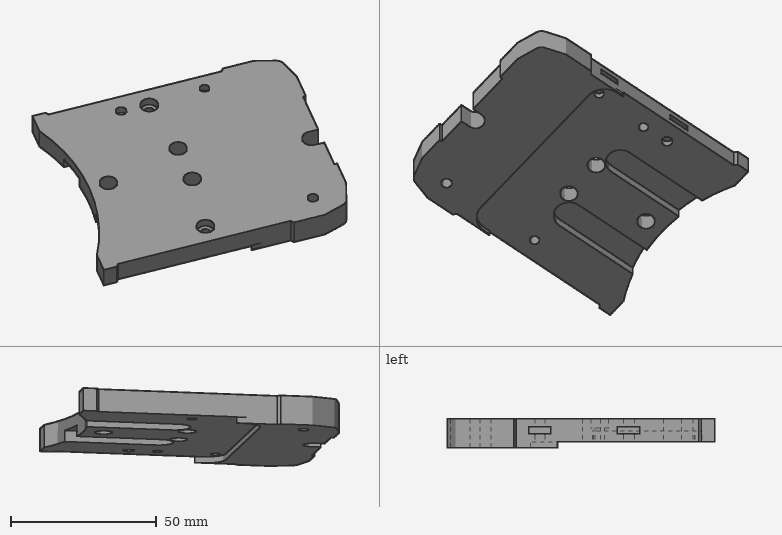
import cadquery as cq

width = 76.2
length = 92
height = 10.0
half_width = width / 2

side_inset = 1.1
ear_step = 0.9
front_ear_end = 4.7
rear_ear_start = 69.1
corner_size = 11.8
corner_inset = 2.85
corner_radius = 3.2
front_arc_half_width = 30.6
front_arc_rise = 7.6
side_x = half_width - side_inset

rear_step_width = 33.3
rear_step_depth = 1.0
rear_slot_width = 6.4
rear_slot_x = 2.8
rear_slot_bottom = 84.2

recess_height = 2.1
pad_tip_y = 54.0
pad_corner_radius = 6.9
pad_front_y = 63.5
pad_lip_thickness = 0.4

channels = [(-13.7, 10.1), (14.5, 10.8)]
channel_top = 6.0
channel_end_center_y = 36.8

large_hole_diameter = 6.1
large_holes = [(-7.5, 42.5), (7.5, 42.5), (0, 14.6)]
screw_hole_diameter = 3.3
counterbore_diameter = 6.2
counterbore_floor = 6.9
screw_holes = [(-30.0, 39.7), (30.0, 39.7)]
rear_right_hole = (29.3, 78.95, 3.7)
left_rear_hole = (-31.3, 60.2, 3.3)
left_front_hole = (-30.5, 29.6, 3.7)

nut_pockets = [(left_rear_hole, 7.45), (left_front_hole, 7.7)]
nut_pocket_bottom = 4.8
nut_pocket_height = 2.5
nut_pocket_reach = 3.7


def box(x_min, x_max, y_min, y_max, z_min, z_max):
    size = (x_max - x_min, y_max - y_min, z_max - z_min)
    return cq.Workplane("XY").box(*size, centered=False).translate((x_min, y_min, z_min))


def cylinder(x, y, diameter, z_min=0, z_max=height):
    return cq.Workplane("XY", origin=(x, y, z_min)).circle(diameter / 2).extrude(z_max - z_min)


def make_plate():
    right_side = [
        (half_width, 0),
        (half_width, front_ear_end),
        (side_x, front_ear_end + ear_step),
        (side_x, rear_ear_start - ear_step),
        (half_width, rear_ear_start),
        (half_width, length - corner_size),
        (half_width - corner_inset, length - corner_inset),
        (half_width - corner_size, length),
    ]
    left_side = [(-x, y) for x, y in reversed(right_side)]
    plate = (
        cq.Workplane("XY")
        .moveTo(-front_arc_half_width, 0)
        .threePointArc((0, front_arc_rise), (front_arc_half_width, 0))
    )
    for x, y in right_side + left_side:
        plate = plate.lineTo(x, y)
    plate = plate.close().extrude(height)
    for side in (-1, 1):
        apex = (side * (half_width - corner_inset), length - corner_inset, height / 2)
        plate = plate.edges(cq.selectors.NearestToPointSelector(apex)).fillet(corner_radius)
    return plate


def make_rear_cutouts():
    half_step = rear_step_width / 2
    step = box(-half_step, half_step, length - rear_step_depth, length, 0, height)
    radius = rear_slot_width / 2
    center_y = rear_slot_bottom + radius
    slot = box(rear_slot_x - radius, rear_slot_x + radius, center_y, length, 0, height)
    return step.union(slot).union(cylinder(rear_slot_x, center_y, rear_slot_width))


def make_recess():
    inner_x = side_x - pad_lip_thickness
    main = box(-inner_x, inner_x, 0, pad_front_y, 0, recess_height)
    main = main.edges("|Z and >Y").fillet(pad_corner_radius)
    ears = box(-half_width, half_width, 0, pad_tip_y, 0, recess_height)
    return main.union(ears)


def make_channel(x, channel_width):
    radius = channel_width / 2
    straight = box(x - radius, x + radius, 0, channel_end_center_y, 0, channel_top)
    return straight.union(cylinder(x, channel_end_center_y, channel_width, 0, channel_top))


def make_nut_pocket(hole, pocket_width):
    x, y, _ = hole
    return box(
        -half_width, x + nut_pocket_reach,
        y - pocket_width / 2, y + pocket_width / 2,
        nut_pocket_bottom, nut_pocket_bottom + nut_pocket_height,
    )


result = make_plate().cut(make_rear_cutouts()).cut(make_recess())

for center_x, channel_width in channels:
    result = result.cut(make_channel(center_x, channel_width))

for x, y in large_holes:
    result = result.cut(cylinder(x, y, large_hole_diameter))

for x, y in screw_holes:
    result = result.cut(cylinder(x, y, screw_hole_diameter))
    result = result.cut(cylinder(x, y, counterbore_diameter, counterbore_floor))

for x, y, diameter in (rear_right_hole, left_rear_hole, left_front_hole):
    result = result.cut(cylinder(x, y, diameter))

for hole, pocket_width in nut_pockets:
    result = result.cut(make_nut_pocket(hole, pocket_width))